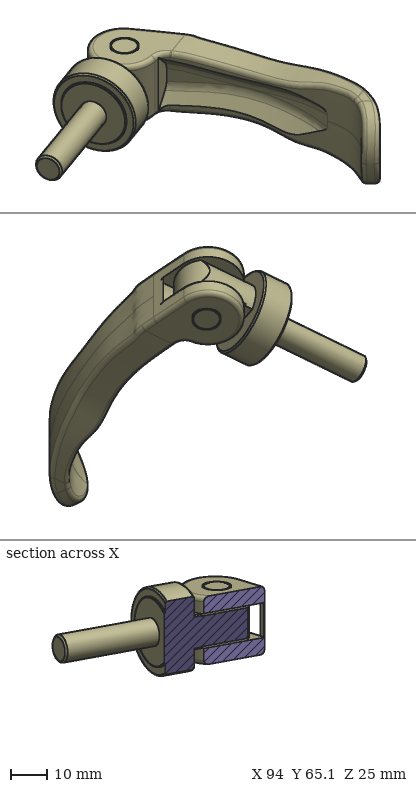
import cadquery as cq
import math


stud_radius = 4.0
stud_end_y = -50.6
stud_chamfer = 0.6
collar_radius = 12.5
collar_top_y = -11.0
collar_bottom_y = -20.3
collar_chamfer = 0.5
pad_radius = 10.0
pad_bottom_y = -20.7
pad_chamfer = 0.34
head_radius = 8.0
head_top_radius = 9.0
head_thickness = 9.0
head_foot_top_y = -8.7

pin_radius = 4.0
pin_chamfer = 0.4

hub_radius = 10.0
hub_center_y = -0.5
hub_width = 19.95
hub_left_angle = 225.0
slot_width = 10.0
slot_radius = 8.3
slot_ceiling_y = 11.1

back_angle = 14.8
back_line_length = 11.3
back_points = [
    (16.5, 13.4), (23.5, 14.1), (31.05, 14.5), (40.5, 13.9), (51.75, 12.4), (60.2, 10.3),
    (67.6, 7.2), (73.6, 3.3), (77.5, -1.1), (80.35, -6.0), (81.95, -11.3), (82.4, -15.1),
]
neck_radius = 3.95
neck_start_angle = -6.0
neck_end_angle = 15.0
belly_points = [
    (18.8, 3.1), (25.4, 3.95), (32.0, 4.3), (38.6, 4.0), (45.2, 3.0), (51.2, 2.35),
    (58.15, 3.2), (62.4, 2.6), (67.5, 0.9), (70.8, -1.3), (74.3, -5.5), (76.6, -10.2), (77.7, -15.1),
]
back_tip_direction = (-0.05, 1)
belly_tip_direction = (0.2, -1)

half_width_points = [
    (18.8, 9.6), (24.5, 8.9), (33.9, 8.3), (43.3, 8.7), (51.75, 10.2), (60.2, 11.5), (64.9, 12.0), (70.6, 12.5),
]
finger_half_width = 12.5
finger_tilt = 65.0
finger_center = (74.4, 0.0)
edge_fillet = 1.4

groove_sections = [
    (10.35, 5.3, 2.2), (20.7, 7.4, 1.0), (34.4, 8.6, 0.1), (47.0, 7.4, 0.8), (60.6, 2.8, 2.1), (64.0, 0.9, 2.4),
]
groove_wall_angle = 45.0
groove_corner_radius = 3.4
groove_wall_drop = 5.6

far = 37.6
reach = 141.1


def polar(radius, degrees, center=(0, 0)):
    angle = math.radians(degrees)
    return (center[0] + radius * math.cos(angle), center[1] + radius * math.sin(angle))


def y_cylinder(radius, bottom_y, top_y):
    return cq.Workplane("XZ", origin=(0, bottom_y, 0)).circle(radius).extrude(bottom_y - top_y)


def z_cylinder(radius, height):
    return cq.Workplane("XY").circle(radius).extrude(height / 2, both=True)


def make_stud():
    shank = y_cylinder(stud_radius, stud_end_y, pad_bottom_y).faces("<Y").chamfer(stud_chamfer)
    pad = y_cylinder(pad_radius, pad_bottom_y, collar_bottom_y).faces("<Y").chamfer(pad_chamfer)
    collar = y_cylinder(collar_radius, collar_bottom_y, collar_top_y)
    collar = collar.faces("<Y or >Y").chamfer(collar_chamfer)
    head = y_cylinder(head_radius, collar_top_y, head_top_radius)
    head = head.intersect(cq.Workplane("XY").box(far, far, head_thickness))
    below_pin = cq.Workplane("XY").box(far, far, far).translate((0, -far / 2, 0))
    head = head.intersect(z_cylinder(head_top_radius, far).union(below_pin))
    foot = y_cylinder(head_radius, collar_top_y, head_foot_top_y)
    foot = foot.intersect(cq.Workplane("XY").box(far, far, slot_width))
    stud = shank.union(pad).union(collar).union(foot).union(head)
    return stud.cut(z_cylinder(pin_radius, far))


def make_pin():
    return z_cylinder(pin_radius, hub_width).faces("<Z or >Z").chamfer(pin_chamfer)


def lever_blank():
    hub_center = (0, hub_center_y)
    back_start = polar(hub_radius, 90 + back_angle, hub_center)
    back_end = polar(back_line_length, back_angle, back_start)
    hub_left = polar(hub_radius, hub_left_angle, hub_center)
    hub_end = polar(hub_radius, neck_start_angle, hub_center)
    neck_center = polar(hub_radius + neck_radius, neck_start_angle, hub_center)
    neck_middle = polar(neck_radius, (270 + neck_start_angle + neck_end_angle) / 2, neck_center)
    neck_end = polar(neck_radius, 90 + neck_end_angle, neck_center)
    profile = (
        cq.Workplane("XY")
        .moveTo(*back_start)
        .threePointArc(hub_left, hub_end)
        .threePointArc(neck_middle, neck_end)
        .spline(belly_points, tangents=[polar(1, neck_end_angle), belly_tip_direction], includeCurrent=True)
        .lineTo(*back_points[-1])
        .spline(
            back_points[-2::-1] + [back_end],
            tangents=[back_tip_direction, polar(1, 180 + back_angle)],
            includeCurrent=True,
        )
        .close().extrude(far / 2, both=True)
    )

    hub_half = hub_width / 2
    straight_end_x = neck_end[0]
    lower_points = [(x, -z) for x, z in reversed(half_width_points)]
    outline = (
        cq.Workplane("XZ")
        .moveTo(-far, -hub_half).lineTo(-far, hub_half).lineTo(straight_end_x, hub_half)
        .spline(half_width_points, tangents=[(1, 0), (1, 0)], includeCurrent=True)
        .lineTo(reach, finger_half_width).lineTo(reach, -finger_half_width).lineTo(*lower_points[0])
        .spline(
            lower_points[1:] + [(straight_end_x, -hub_half)],
            tangents=[(-1, 0), (-1, 0)],
            includeCurrent=True,
        )
        .close().extrude(far, both=True)
    )

    tilt = math.radians(finger_tilt)
    finger_plane = cq.Plane(
        origin=(*finger_center, 0),
        xDir=(math.cos(tilt), -math.sin(tilt), 0),
        normal=(math.sin(tilt), math.cos(tilt), 0),
    )
    finger = (
        cq.Workplane(finger_plane)
        .moveTo(0, finger_half_width)
        .threePointArc((finger_half_width, 0), (0, -finger_half_width))
        .lineTo(-reach, -finger_half_width).lineTo(-reach, finger_half_width).close()
        .extrude(reach, both=True)
    )
    return profile.intersect(outline).intersect(finger)


def round_rim(blank):
    tilt = math.radians(finger_tilt)
    finger_seam = cq.selectors.ParallelDirSelector(cq.Vector(math.sin(tilt), math.cos(tilt), 0))
    rim = blank.edges("not(|Z or |Y)").edges(cq.selectors.InverseSelector(finger_seam))
    return blank.newObject(rim.vals()).fillet(edge_fillet)


def groove_section(x, floor_y, half_floor):
    half_turn = polar(groove_corner_radius, 90 - groove_wall_angle / 2)
    turn = polar(groove_corner_radius, 90 - groove_wall_angle)
    center_y = floor_y - groove_corner_radius
    wall_run = groove_wall_drop / math.tan(math.radians(groove_wall_angle))

    def side_points(side):
        return [
            cq.Vector(x, floor_y, side * half_floor),
            cq.Vector(x, center_y + half_turn[1], side * (half_floor + half_turn[0])),
            cq.Vector(x, center_y + turn[1], side * (half_floor + turn[0])),
            cq.Vector(x, center_y + turn[1] - groove_wall_drop, side * (half_floor + turn[0] + wall_run)),
        ]

    left = side_points(-1)
    right = side_points(1)
    return cq.Wire.assembleEdges([
        cq.Edge.makeLine(left[0], right[0]),
        cq.Edge.makeThreePointArc(*right[:3]),
        cq.Edge.makeLine(right[2], right[3]),
        cq.Edge.makeLine(right[3], left[3]),
        cq.Edge.makeLine(left[3], left[2]),
        cq.Edge.makeThreePointArc(*left[2::-1]),
    ])


def groove():
    return cq.Workplane(obj=cq.Solid.makeLoft([groove_section(*section) for section in groove_sections]))


def fork_slot():
    round_end = y_cylinder(slot_radius, -far, slot_ceiling_y)
    mouth = cq.Workplane("XY").box(far, 2 * far, slot_width).translate((-far / 2, slot_ceiling_y - far, 0))
    between_forks = cq.Workplane("XY").box(3 * far, 3 * far, slot_width)
    return round_end.union(mouth).intersect(between_forks)


def make_lever():
    lever = round_rim(lever_blank())
    lever = lever.cut(groove())
    lever = lever.cut(fork_slot())
    return lever.cut(z_cylinder(pin_radius, far))


lever = make_lever()
pin = make_pin()
stud = make_stud()

result = cq.Compound.makeCompound([lever.val(), pin.val(), stud.val()])